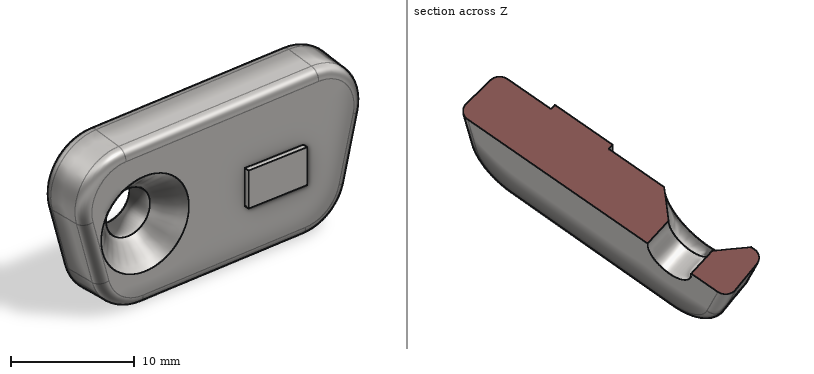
import cadquery as cq
import math

thickness = 5.0
half_height = 7.85
mid_half_width = 14.02
side_angle = 14.0
corner_radius = 4.77
draft_angle = 3.0
edge_fillet = 1.0
tilt_angle = 0.88

hole_offset = -8.0
hole_diameter = 4.5
countersink_diameter = 9.0
countersink_angle = 90.0

pad_length = 6.0
pad_width = 3.6
pad_height = 0.5
pad_center = (5.23, -0.44)


def make_body():
    lean = half_height * math.tan(math.radians(side_angle))
    top_half_width = mid_half_width + lean
    bottom_half_width = mid_half_width - lean
    outline = (
        cq.Sketch()
        .polygon([
            (-bottom_half_width, -half_height),
            (bottom_half_width, -half_height),
            (top_half_width, half_height),
            (-top_half_width, half_height),
            (-bottom_half_width, -half_height),
        ])
        .vertices()
        .fillet(corner_radius)
    )
    plate = cq.Workplane("YZ").placeSketch(outline).extrude(thickness, taper=draft_angle)
    return plate.faces("<X or >X").edges().fillet(edge_fillet)


def cut_countersunk_hole(plate):
    return (
        plate.copyWorkplane(cq.Workplane("YZ", origin=(thickness, 0, 0)))
        .center(hole_offset, 0)
        .cskHole(hole_diameter, countersink_diameter, countersink_angle)
    )


def make_pad():
    return (
        cq.Workplane("YZ", origin=(thickness, 0, 0))
        .center(*pad_center)
        .rect(pad_length, pad_width)
        .extrude(pad_height)
    )


body = cut_countersunk_hole(make_body())
tilted_body = body.rotate((0, 0, 0), (1, 0, 0), tilt_angle)
result = tilted_body.union(make_pad())